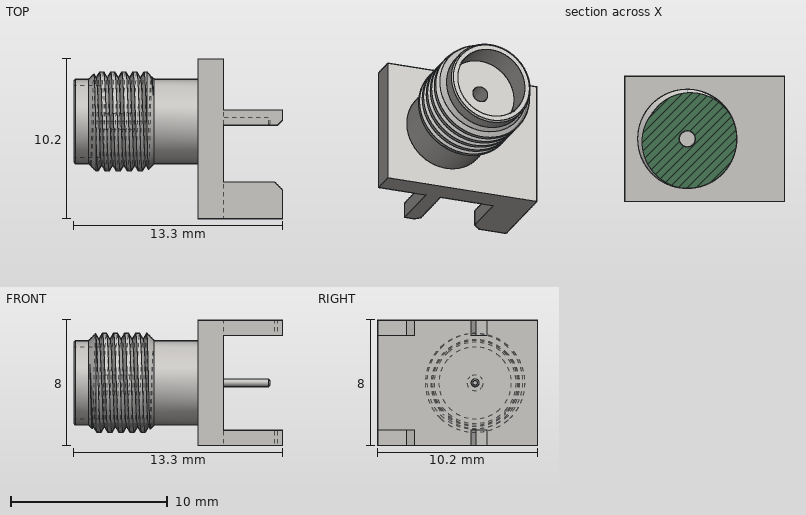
import cadquery as cq
import math


total_length = 13.3
plate_front = 7.9
plate_thickness = 1.65

plate_width = 10.2
plate_height = 8.0
plate_max_y = 3.99
plate_min_y = plate_max_y - plate_width

barrel_radius = 2.7
barrel_chamfer = 0.1
bore_radius = 2.3
bore_depth = 1.93

socket_radius = 0.5
socket_depth = 1.93

collar_start = 0.95
collar_end = 5.12
collar_radius = 3.17
thread_pitch = 0.7
thread_turns = 6
groove_width = 0.45
groove_half_angle = math.radians(30)
groove_depth = groove_width / 2 / math.tan(groove_half_angle)
groove_overcut = 0.07

leg_thickness = 1.0
wide_leg_width = 2.35
wide_leg_chamfer = 0.5
narrow_leg_min_y = -0.25
narrow_leg_max_y = 0.75
narrow_leg_chamfer = 0.32

pin_radius = 0.25
pin_end = 12.5
pin_chamfer = 0.1


def x_cylinder(radius, start, end):
    """Solid cylinder on the X axis between two X positions."""
    return cq.Workplane("YZ", origin=(start, 0, 0)).circle(radius).extrude(end - start)


def make_barrel():
    """Stepped barrel turned in one piece, its collar tapering at 45 degrees at both ends."""
    rise = collar_radius - barrel_radius
    profile = [
        (0, 0),
        (0, barrel_radius - barrel_chamfer),
        (barrel_chamfer, barrel_radius),
        (collar_start, barrel_radius),
        (collar_start + rise, collar_radius),
        (collar_end - rise, collar_radius),
        (collar_end, barrel_radius),
        (plate_front, barrel_radius),
        (plate_front, 0),
    ]
    return cq.Workplane("XZ").polyline(profile).close().revolve(360, (0, 0, 0), (1, 0, 0))


def make_groove_turn():
    """One turn of the 60 degree groove along +X, starting and ending on the +Z side."""
    root_radius = collar_radius - groove_depth
    outer_radius = collar_radius + groove_overcut
    outer_half_width = (outer_radius - root_radius) * math.tan(groove_half_angle)
    section = [(root_radius, 0), (outer_radius, outer_half_width), (outer_radius, -outer_half_width)]
    helix = cq.Wire.makeHelix(thread_pitch, thread_pitch, root_radius)
    groove = cq.Workplane("XZ").polyline(section).close().sweep(cq.Workplane(obj=helix), isFrenet=True)
    return groove.rotate((0, 0, 0), (0, 1, 0), 90).rotate((0, 0, 0), (1, 0, 0), 180)


def cut_thread(barrel):
    """Cut the groove turn by turn, back from the end of the collar; it runs out on both tapers."""
    groove_turn = make_groove_turn()
    for turn in range(1, thread_turns + 1):
        barrel = barrel.cut(groove_turn.translate((collar_end - turn * thread_pitch, 0, 0)))
    return barrel


def make_plate():
    return cq.Workplane("XY").box(plate_thickness, plate_width, plate_height, centered=False).translate(
        (plate_front, plate_min_y, -plate_height / 2)
    )


def make_leg(outline, bottom):
    """Flat leg of the standard thickness standing on the given Z height."""
    return cq.Workplane("XY", origin=(0, 0, bottom)).polyline(outline).close().extrude(leg_thickness)


def make_legs():
    """A wide and a narrow leg at the top of the plate, and the same pair at the bottom."""
    wide_leg_max_y = plate_min_y + wide_leg_width
    wide_outline = [
        (plate_front, plate_min_y),
        (total_length, plate_min_y),
        (total_length, wide_leg_max_y - wide_leg_chamfer),
        (total_length - wide_leg_chamfer, wide_leg_max_y),
        (plate_front, wide_leg_max_y),
    ]
    narrow_outline = [
        (plate_front, narrow_leg_max_y),
        (total_length, narrow_leg_max_y),
        (total_length, narrow_leg_min_y + narrow_leg_chamfer),
        (total_length - narrow_leg_chamfer, narrow_leg_min_y),
        (plate_front, narrow_leg_min_y),
    ]
    legs = cq.Workplane("XY")
    for bottom in (-plate_height / 2, plate_height / 2 - leg_thickness):
        for outline in (wide_outline, narrow_outline):
            legs = legs.add(make_leg(outline, bottom))
    return legs.combine()


def make_pin():
    return x_cylinder(pin_radius, plate_front, pin_end).faces(">X").chamfer(pin_chamfer)


bore = x_cylinder(bore_radius, 0, bore_depth)
socket = x_cylinder(socket_radius, bore_depth, bore_depth + socket_depth)

result = (
    cut_thread(make_barrel())
    .cut(bore)
    .cut(socket)
    .union(make_plate())
    .union(make_legs())
    .union(make_pin())
)